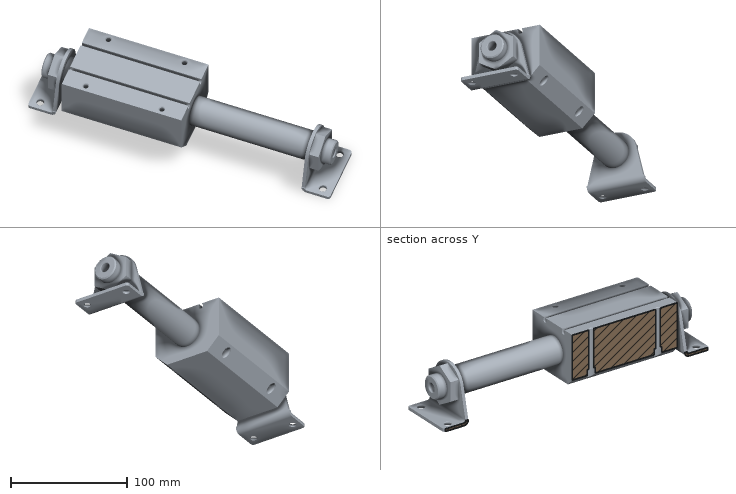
import cadquery as cq
import math

total_length = 278.0
axis_height = 30.0

carriage_length = 110.0
carriage_width = 65.0
carriage_height = 50.0
carriage_base = 5.0
carriage_offset = 33.5
carriage_chamfer = 12.0

mount_pitch_x = 70.0
mount_pitch_y = 54.0
mount_hole_diameter = 4.3
mount_hole_chamfer = 0.7
counterbore_diameter = 7.5
counterbore_depth = carriage_chamfer

groove_spacing = 28.0
groove_diameter = 4.3
groove_depth = 4.9
groove_lip = 1.0
groove_mouth = 3.0

rod_diameter = 26.5
stub_diameter = 22.0
stub_chamfer = 1.0
stub_inset = 6.0
tap_diameter = 8.57
tap_chamfer = 0.5
tap_depth = 20.0

nut_across_flats = 32.5
nut_inset = 14.5

foot_reach = 26.0
foot_width = 54.5
foot_thickness = 3.0
bend_radius = 2.0
foot_corner_radius = 2.5
foot_head_radius = 20.0
foot_hole_diameter = 6.5
foot_hole_chamfer = 0.5
foot_hole_inset = 9.0
foot_hole_pitch = 40.0
upright_base_half_width = 26.5

end_x = total_length / 2
upright_x = end_x - foot_reach
nut_seat_x = upright_x + foot_thickness
outer_bend_radius = bend_radius + foot_thickness
bend_x = upright_x + outer_bend_radius
carriage_x = -end_x + carriage_offset + carriage_length / 2
carriage_top = carriage_base + carriage_height


def x_cylinder(diameter, start, end):
    """Cylinder on the rod axis between two X positions."""
    plane = cq.Workplane("YZ", origin=(start, 0, axis_height))
    return plane.circle(diameter / 2).extrude(end - start)


def make_drill(plane, diameter, depth, chamfer):
    """Cutting tool for holes sunk below the plane, each chamfered at its mouth."""
    bore = plane.circle(diameter / 2).extrude(-depth)
    mouth = plane.circle(diameter / 2 + chamfer).extrude(-chamfer, taper=45)
    return bore.union(mouth)


def make_groove(y):
    """Round-bottomed channel with a narrower mouth in the carriage top."""
    radius = groove_diameter / 2
    centre_depth = groove_depth - radius
    plane = cq.Workplane("YZ", origin=(carriage_x - carriage_length / 2, y, carriage_top))
    channel = (
        plane.moveTo(-radius, -groove_lip)
        .lineTo(-radius, -centre_depth)
        .threePointArc((0, -groove_depth), (radius, -centre_depth))
        .lineTo(radius, -groove_lip)
        .close()
        .extrude(carriage_length)
    )
    mouth = plane.center(0, -groove_lip / 2).rect(groove_mouth, groove_lip).extrude(carriage_length)
    return channel.union(mouth)


def make_carriage():
    """Block with bevelled lower edges, a rod bore, grooves and mounting holes."""
    body = (
        cq.Workplane("XY", origin=(carriage_x, 0, carriage_base))
        .box(carriage_length, carriage_width, carriage_height, centered=(True, True, False))
        .edges("|X and <Z")
        .chamfer(carriage_chamfer)
    )
    body = body.cut(x_cylinder(rod_diameter, -upright_x, upright_x))
    for side in (-1, 1):
        body = body.cut(make_groove(side * groove_spacing / 2))
    hole_tops = cq.Workplane("XY", origin=(carriage_x, 0, carriage_top))
    hole_tops = hole_tops.rarray(mount_pitch_x, mount_pitch_y, 2, 2)
    body = body.cut(make_drill(hole_tops, mount_hole_diameter, carriage_height, mount_hole_chamfer))
    hole_bottoms = cq.Workplane("XY", origin=(carriage_x, 0, carriage_base))
    hole_bottoms = hole_bottoms.rarray(mount_pitch_x, mount_pitch_y, 2, 2)
    return body.cut(hole_bottoms.circle(counterbore_diameter / 2).extrude(counterbore_depth))


def make_foot():
    """Right-hand foot: flange, bend and tapered upright with a round head."""
    strip = (
        cq.Workplane("XZ", origin=(0, foot_width / 2, 0))
        .moveTo(end_x, 0)
        .lineTo(bend_x, 0)
        .radiusArc((upright_x, outer_bend_radius), outer_bend_radius)
        .lineTo(nut_seat_x, outer_bend_radius)
        .radiusArc((bend_x, foot_thickness), -bend_radius)
        .lineTo(end_x, foot_thickness)
        .close()
        .extrude(foot_width)
        .edges("|Z and >X")
        .fillet(foot_corner_radius)
    )
    hole_x = end_x - foot_hole_inset
    hole_tops = cq.Workplane("XY", origin=(hole_x, 0, foot_thickness)).rarray(1, foot_hole_pitch, 1, 2)
    strip = strip.cut(make_drill(hole_tops, foot_hole_diameter, foot_thickness, foot_hole_chamfer))

    drop = axis_height - outer_bend_radius
    corner_distance = math.hypot(upright_base_half_width, drop)
    tangent_angle = math.acos(foot_head_radius / corner_distance) - math.atan2(drop, upright_base_half_width)
    tangent_y = foot_head_radius * math.cos(tangent_angle)
    tangent_z = axis_height + foot_head_radius * math.sin(tangent_angle)
    upright = (
        cq.Workplane("YZ", origin=(upright_x, 0, 0))
        .moveTo(-upright_base_half_width, outer_bend_radius)
        .lineTo(upright_base_half_width, outer_bend_radius)
        .lineTo(tangent_y, tangent_z)
        .threePointArc((0, axis_height + foot_head_radius), (-tangent_y, tangent_z))
        .close()
        .extrude(foot_thickness)
    )
    return strip.union(upright)


def make_nut():
    """Right-hand nut with two corners on the vertical centre line."""
    across_corners = nut_across_flats / math.cos(math.pi / 6)
    return (
        cq.Workplane("YZ", origin=(nut_seat_x, 0, axis_height))
        .transformed(rotate=(0, 0, 90))
        .polygon(6, across_corners)
        .extrude(end_x - nut_inset - nut_seat_x)
    )


def make_rod_assembly():
    """Rod, stubs, nuts and feet as one rigid body, mirrored about its middle."""
    stub_end = end_x - stub_inset
    stub = x_cylinder(stub_diameter, upright_x, stub_end).faces(">X").chamfer(stub_chamfer)
    end_fitting = make_foot().union(stub).union(make_nut())
    stub_face = cq.Workplane("YZ", origin=(stub_end, 0, axis_height))
    end_fitting = end_fitting.cut(make_drill(stub_face, tap_diameter, tap_depth, tap_chamfer))
    rod = x_cylinder(rod_diameter, -upright_x, upright_x)
    return rod.union(end_fitting).union(end_fitting.mirror("YZ"))


carriage = make_carriage()
rod_assembly = make_rod_assembly()

result = cq.Compound.makeCompound([carriage.val(), rod_assembly.val()])